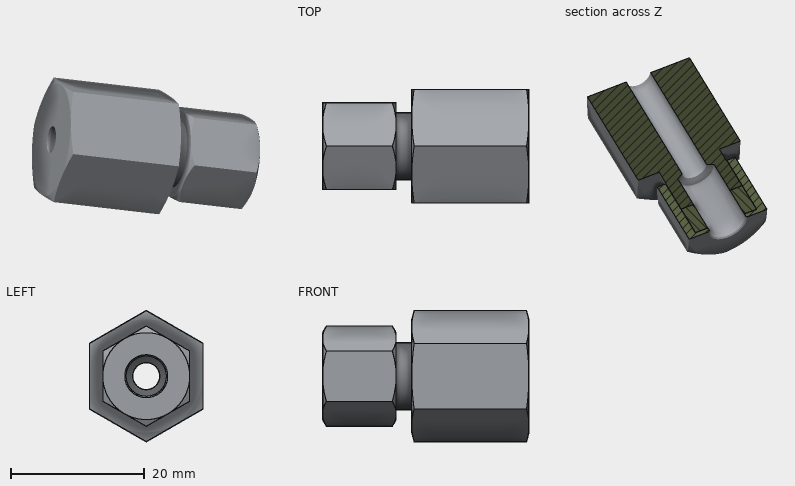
import cadquery as cq
import math


overall_length = 30.85
nut_length = 11.0
body_hex_start = 13.32

nut_flats = 12.98
body_flats = 17.0
body_face_diameter = 16.9
nut_chamfer_angle = 30.0
body_chamfer_angle = 15.0

neck_diameter = 10.05
tube_diameter = 6.0
flow_diameter = 4.0
mouth_diameter = 6.4
mouth_chamfer_angle = 45.0

ferrule_start = 0.8
ferrule_length = 4.93
tube_stop = nut_length
taper_angle = 60.0

ferrule_end = ferrule_start + ferrule_length


def revolve_profile(points):
    """Revolve an outline of (x, radius) points about the X axis."""
    return cq.Workplane("XY").polyline(points).close().revolve(360, (0, 0, 0), (1, 0, 0))


def cylinder(start, end, diameter):
    """Solid cylinder along X."""
    return cq.Workplane("YZ", origin=(start, 0, 0)).circle(diameter / 2).extrude(end - start)


def chamfered_hexagon(start, end, flats, face_diameter, chamfer_angle):
    """Hexagonal bar along X, corners up and down, turned to a cone at both ends."""
    corner_radius = flats / math.sqrt(3)
    face_radius = face_diameter / 2
    cone_height = 2 * (corner_radius - face_radius)
    cone_length = cone_height * math.tan(math.radians(chamfer_angle))
    bar = (
        cq.Workplane("YZ", origin=(start, 0, 0))
        .transformed(rotate=(0, 0, 90))
        .polygon(6, 2 * corner_radius)
        .extrude(end - start)
    )
    envelope = revolve_profile([
        (start, 0),
        (start, face_radius),
        (start + cone_length, face_radius + cone_height),
        (end - cone_length, face_radius + cone_height),
        (end, face_radius),
        (end, 0),
    ])
    return bar.intersect(envelope)


def make_nut():
    """Union nut: tube bore with an entry chamfer, and a recess for the ferrule and neck."""
    mouth_depth = (mouth_diameter - tube_diameter) / 2 / math.tan(math.radians(mouth_chamfer_angle))
    mouth = revolve_profile([
        (0, 0),
        (0, mouth_diameter / 2),
        (mouth_depth, tube_diameter / 2),
        (mouth_depth, 0),
    ])
    return (
        chamfered_hexagon(0, nut_length, nut_flats, nut_flats, nut_chamfer_angle)
        .cut(cylinder(0, nut_length, tube_diameter))
        .cut(mouth)
        .cut(cylinder(ferrule_start, nut_length, neck_diameter))
    )


def make_ferrule():
    """Plain ring clamped between the nut's end wall and the neck of the body."""
    return cylinder(ferrule_start, ferrule_end, neck_diameter).cut(
        cylinder(ferrule_start, ferrule_end, tube_diameter)
    )


def make_body():
    """Fitting body: large hexagon and neck, with a tube socket tapering into the flow bore."""
    taper_length = (tube_diameter - flow_diameter) / 2 / math.tan(math.radians(taper_angle))
    bore = revolve_profile([
        (ferrule_end, 0),
        (ferrule_end, tube_diameter / 2),
        (tube_stop, tube_diameter / 2),
        (tube_stop + taper_length, flow_diameter / 2),
        (overall_length, flow_diameter / 2),
        (overall_length, 0),
    ])
    return (
        chamfered_hexagon(
            body_hex_start, overall_length, body_flats, body_face_diameter, body_chamfer_angle
        )
        .union(cylinder(ferrule_end, body_hex_start, neck_diameter))
        .cut(bore)
    )


nut = make_nut()
ferrule = make_ferrule()
body = make_body()

result = cq.Compound.makeCompound([nut.val(), ferrule.val(), body.val()])